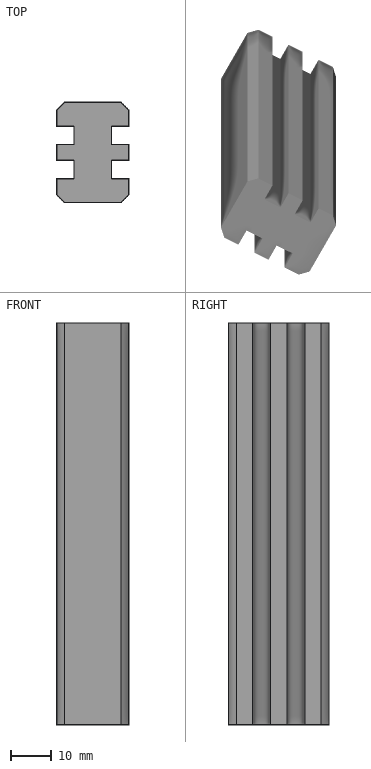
import cadquery as cq

width = 18.0
depth = 25.0
length = 100.0

corner_chamfer = 2.0
groove_depth = 4.3
groove_width = 4.5
center_rib = 4.0

bar = cq.Workplane("XY").box(width, depth, length).edges("|Z").chamfer(corner_chamfer)

groove_x = (width - groove_depth) / 2
groove_y = (center_rib + groove_width) / 2
grooves = (
    cq.Workplane("XY")
    .rect(2 * groove_x, 2 * groove_y, forConstruction=True)
    .vertices()
    .rect(groove_depth, groove_width)
    .extrude(length / 2, both=True)
)

result = bar.cut(grooves)